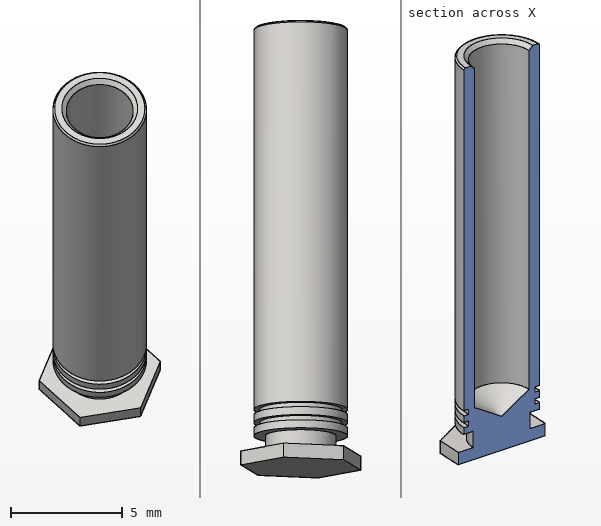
import cadquery as cq
import math

total_height = 20.0
hex_across_flats = 4.8
hex_thickness = 0.65

neck_diameter = 3.18
neck_height = 0.8
sleeve_diameter = 4.2
groove_diameter = 3.7
groove_width = 0.25
rib_height = 0.35
groove_count = 2
rim_chamfer = 0.08

bore_diameter = 3.0
mouth_diameter = 3.4
mouth_depth = 0.2
drill_point_angle = 118.0

sleeve_bottom = hex_thickness + neck_height
grooves_top = sleeve_bottom + groove_count * (rib_height + groove_width)
bore_floor = grooves_top


def make_base():
    across_corners = hex_across_flats / math.cos(math.pi / 6)
    return cq.Workplane("XY").polygon(6, across_corners).extrude(hex_thickness)


def make_neck():
    return cq.Workplane("XY").circle(neck_diameter / 2).extrude(sleeve_bottom)


def make_sleeve():
    sleeve = (
        cq.Workplane("XY", origin=(0, 0, sleeve_bottom))
        .circle(sleeve_diameter / 2)
        .extrude(total_height - sleeve_bottom)
        .faces(">Z")
        .chamfer(rim_chamfer)
    )
    for index in range(groove_count):
        groove_bottom = sleeve_bottom + rib_height + index * (rib_height + groove_width)
        groove = (
            cq.Workplane("XY", origin=(0, 0, groove_bottom))
            .circle(sleeve_diameter / 2)
            .circle(groove_diameter / 2)
            .extrude(groove_width)
        )
        sleeve = sleeve.cut(groove)
    return sleeve


def make_bore():
    bore_radius = bore_diameter / 2
    point_depth = bore_radius / math.tan(math.radians(drill_point_angle / 2))
    half_profile = [
        (0, bore_floor - point_depth),
        (bore_radius, bore_floor),
        (bore_radius, total_height - mouth_depth),
        (mouth_diameter / 2, total_height),
        (0, total_height),
    ]
    return cq.Workplane("XZ").polyline(half_profile).close().revolve(360, (0, 0), (0, 1))


result = make_base().union(make_neck()).union(make_sleeve()).cut(make_bore())